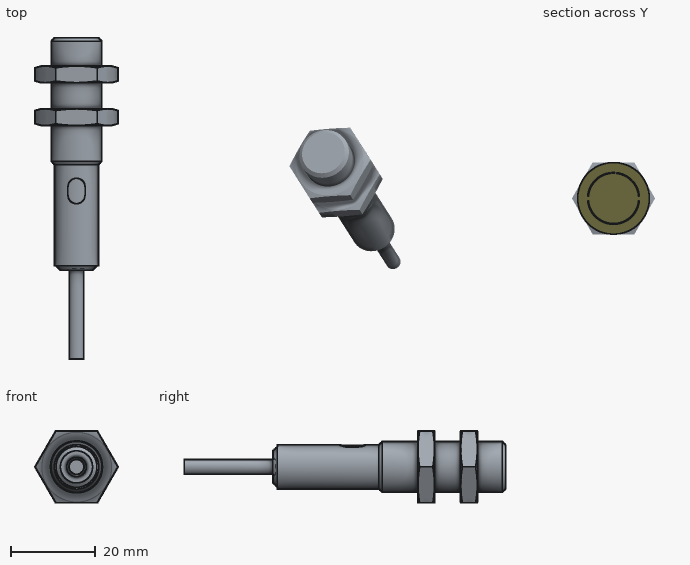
import cadquery as cq
import math

total_length = 76.0
sensing_face_y = total_length / 2
cable_end_y = -total_length / 2

barrel_diameter = 12.0
barrel_length = 30.0
barrel_chamfer = 0.8

sleeve_diameter = 10.5
sleeve_end_distance = 53.95
plug_base_diameter = 9.65
plug_tip_diameter = 7.6
plug_length = 1.1

cable_diameter = 3.5
recess_outer_diameter = 4.6
recess_inner_diameter = 3.6
recess_depth = 0.5

nut_across_flats = 17.0
nut_thickness = 4.0
nut_face_diameter = 16.5
nut_corner_chamfer = 0.45
nut_countersink_diameter = 12.3
nut_countersink_depth = 0.15
nut_front_distances = (6.7, 16.8)

window_width = 4.0
window_length = 6.0
window_center_distance = 36.25
window_floor_diameter = 10.1


def behind_face(distance):
    """Y position at a distance behind the sensing face."""
    return sensing_face_y - distance


def revolve_about_y(points):
    """Solid of revolution about Y from (radius, y) points."""
    return cq.Workplane("XY").polyline(points).close().revolve(360, (0, 0, 0), (0, 1, 0))


def make_body():
    """Barrel, sleeve, tapered plug and cable as one turned profile."""
    barrel_radius = barrel_diameter / 2
    sleeve_radius = sleeve_diameter / 2
    cable_radius = cable_diameter / 2
    barrel_end_y = behind_face(barrel_length)
    sleeve_end_y = behind_face(sleeve_end_distance)
    plug_end_y = sleeve_end_y - plug_length
    recess_floor_y = plug_end_y + recess_depth
    return revolve_about_y([
        (0, sensing_face_y),
        (barrel_radius - barrel_chamfer, sensing_face_y),
        (barrel_radius, sensing_face_y - barrel_chamfer),
        (barrel_radius, barrel_end_y + barrel_chamfer),
        (sleeve_radius, barrel_end_y),
        (sleeve_radius, sleeve_end_y),
        (plug_base_diameter / 2, sleeve_end_y),
        (plug_tip_diameter / 2, plug_end_y),
        (recess_outer_diameter / 2, plug_end_y),
        (recess_inner_diameter / 2, recess_floor_y),
        (cable_radius, recess_floor_y),
        (cable_radius, cable_end_y),
        (0, cable_end_y),
    ])


def make_nut(front_distance):
    """Hexagonal nut, flats on top and bottom, with chamfered corners and a countersunk bore."""
    front_y = behind_face(front_distance)
    back_y = front_y - nut_thickness
    corner_radius = nut_across_flats / math.sqrt(3)
    face_radius = nut_face_diameter / 2
    hexagon = (
        cq.Workplane("XZ", origin=(0, front_y, 0))
        .polygon(6, 2 * corner_radius)
        .extrude(nut_thickness)
    )
    bore_radius = barrel_diameter / 2
    countersink_radius = nut_countersink_diameter / 2
    ring_envelope = revolve_about_y([
        (countersink_radius, front_y),
        (face_radius, front_y),
        (corner_radius, front_y - nut_corner_chamfer),
        (corner_radius, back_y + nut_corner_chamfer),
        (face_radius, back_y),
        (countersink_radius, back_y),
        (bore_radius, back_y + nut_countersink_depth),
        (bore_radius, front_y - nut_countersink_depth),
    ])
    return hexagon.intersect(ring_envelope)


def make_window_cutter():
    """Rounded slot above a cylindrical floor concentric with the sleeve."""
    center_y = behind_face(window_center_distance)
    slot = (
        cq.Workplane("XY", origin=(0, center_y, 0))
        .slot2D(window_length, window_width, 90)
        .extrude(sleeve_diameter)
    )
    floor_core = (
        cq.Workplane("XZ", origin=(0, center_y + window_length, 0))
        .circle(window_floor_diameter / 2)
        .extrude(2 * window_length)
    )
    return slot.cut(floor_core)


result = make_body().cut(make_window_cutter())
for nut_front_distance in nut_front_distances:
    result = result.union(make_nut(nut_front_distance))